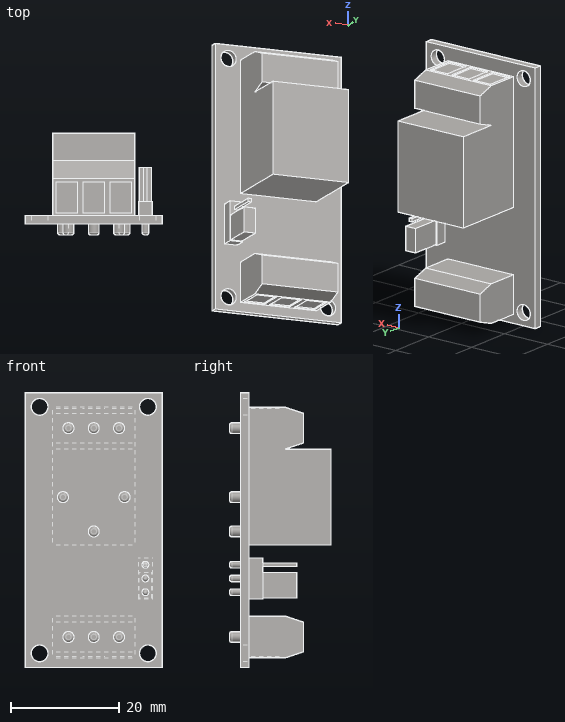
import cadquery as cq


board_width = 25.4
board_height = 50.8
board_thickness = 1.65
hole_diameter = 3.05
hole_pitch_x = 20.0
hole_pitch_z = 45.55

joint_length = 2.05
joint_tip_radius = 0.5
large_joint_diameter = 2.05
small_joint_diameter = 1.25

terminal_way_count = 3
terminal_width = 15.25
terminal_depth = 7.7
terminal_height = 10.1
terminal_shoulder_height = 6.75
terminal_top_depth = 5.5
terminal_pin_pitch = 4.65
upper_terminal_z = 18.85
lower_terminal_z = -19.75

opening_width = 3.95
opening_height = 5.7
opening_pitch = 5.05
opening_base = 0.45
opening_recess = 0.25

relay_width = terminal_width
relay_length = 17.8
relay_height = 15.2
relay_top_z = upper_terminal_z - terminal_depth / 2
relay_coil_pin_x = 5.7
relay_coil_pin_z = 6.1
relay_common_pin_z = -0.25

header_x = 9.55
header_z = -8.95
header_pitch = 2.55
header_pin_count = 3
header_width = 2.55
header_length = header_pin_count * header_pitch
header_base_height = 2.55
header_pin_size = 0.65
header_top = 8.85
jumper_width = 2.3
jumper_length = 4.8


def centered_positions(count, pitch):
    """Evenly spaced positions along one axis, centred on zero."""
    return [(i - (count - 1) / 2) * pitch for i in range(count)]


def block(width, length, x, z, y_start, y_end):
    """Box of X width and Z length centred on (x, z), spanning y_start to y_end."""
    height = y_end - y_start
    return cq.Workplane("XY").box(width, height, length).translate((x, (y_start + y_end) / 2, z))


def make_board():
    board = block(board_width, board_height, 0, 0, -board_thickness, 0)
    return (
        board.faces("<Y")
        .workplane(origin=(0, 0, 0))
        .rect(hole_pitch_x, hole_pitch_z, forConstruction=True)
        .vertices()
        .hole(hole_diameter)
    )


def make_joint(x, z, diameter):
    """Round solder joint with a rounded tip, on the -Y face of the board."""
    return (
        cq.Workplane("XZ", origin=(x, -board_thickness, z))
        .circle(diameter / 2)
        .extrude(joint_length)
        .faces("<Y")
        .edges()
        .fillet(joint_tip_radius)
    )


def make_terminal(center_z, outward):
    """Terminal block with its wire openings facing +Z (outward = 1) or -Z (outward = -1)."""
    half_depth = terminal_depth / 2
    half_top = terminal_top_depth / 2
    opening_top = opening_base + opening_height
    profile = [
        (0, -half_depth),
        (terminal_shoulder_height, -half_depth),
        (terminal_height, -half_top),
        (terminal_height, half_top),
        (terminal_shoulder_height, half_depth),
        (0, half_depth),
    ]
    terminal = cq.Workplane("YZ").polyline(profile).close().extrude(terminal_width / 2, both=True)
    recess_z = outward * (half_depth - opening_recess / 2)
    for x in centered_positions(terminal_way_count, opening_pitch):
        opening = block(opening_width, opening_recess, x, recess_z, opening_base, opening_top)
        terminal = terminal.cut(opening)
    return terminal.translate((0, 0, center_z))


def make_relay():
    return block(relay_width, relay_length, 0, relay_top_z - relay_length / 2, 0, relay_height)


def make_header():
    base = block(header_width, header_length, header_x, header_z, 0, header_base_height)
    exposed_pin_z = header_z + header_pitch
    pin = block(header_pin_size, header_pin_size, header_x, exposed_pin_z, 0, header_top)
    jumper_z = header_z - header_pitch / 2
    jumper = block(jumper_width, jumper_length, header_x, jumper_z, header_base_height, header_top)
    return base.union(pin).union(jumper)


large_joints = [
    (-relay_coil_pin_x, relay_coil_pin_z),
    (relay_coil_pin_x, relay_coil_pin_z),
    (0, relay_common_pin_z),
]
for terminal_z in (upper_terminal_z, lower_terminal_z):
    for pin_x in centered_positions(terminal_way_count, terminal_pin_pitch):
        large_joints.append((pin_x, terminal_z))

result = make_board()
result = result.union(make_terminal(upper_terminal_z, 1))
result = result.union(make_terminal(lower_terminal_z, -1))
result = result.union(make_relay())
result = result.union(make_header())
for joint_x, joint_z in large_joints:
    result = result.union(make_joint(joint_x, joint_z, large_joint_diameter))
for offset_z in centered_positions(header_pin_count, header_pitch):
    result = result.union(make_joint(header_x, header_z + offset_z, small_joint_diameter))